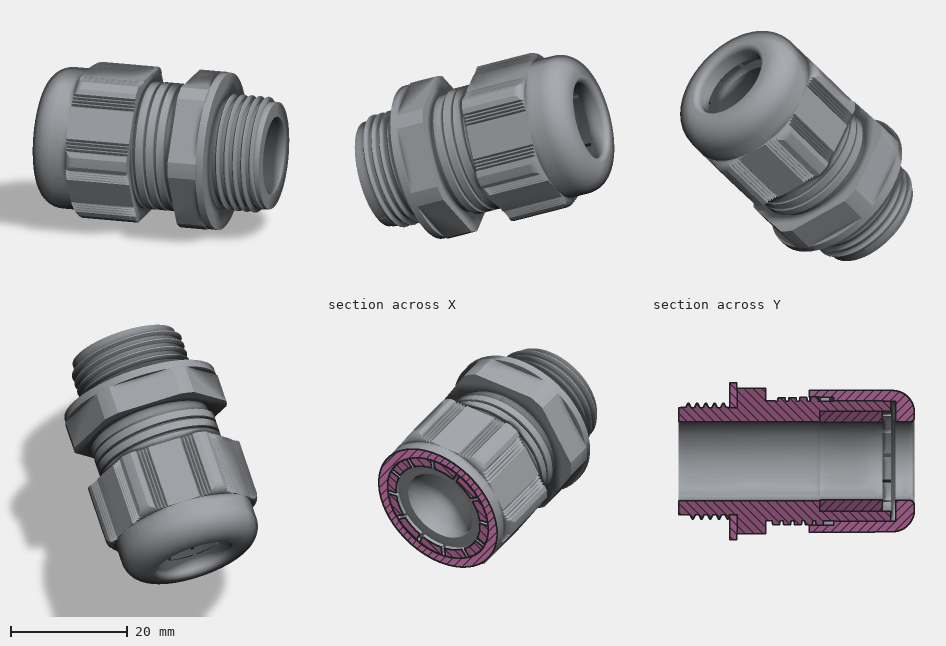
import cadquery as cq
import math

OVERALL_LENGTH = 40.45
GRIP_START = 6.87
CAP_END = 18.07
HEX_START = 25.47
GASKET_START = 30.4
GASKET_END = 31.7

DOME_DIA = 24.3
FRONT_FACE_DIA = 16.58
DOME_ROUND = (DOME_DIA - FRONT_FACE_DIA) / 2
ENTRY_BORE_DIA = 13.35
ENTRY_ROUND_DIA = 15.2
ENTRY_ROUND = (ENTRY_ROUND_DIA - ENTRY_BORE_DIA) / 2
ENTRY_BORE_END = 3.27
GRIP_FLATS = 24.35
LOBE_DIA = 27.15
LOBE_ROUND = (LOBE_DIA - DOME_DIA) / 2
GROOVES_PER_SIDE = 4
GROOVE_FIELD_WIDTH = 2.35
GROOVE_PITCH = GROOVE_FIELD_WIDTH / GROOVES_PER_SIDE
GROOVE_DEPTH = GROOVE_PITCH * math.sqrt(3) / 2
GROOVE_FIELD_START = 2.8

NECK_DIA = 20.5
HEX_FLATS = 25.0
HEX_CORNER_DIA = 27.4
HEX_TURN = -0.9
SHANK_DIA = 18.45
BODY_BORE_DIA = 13.42

FINGER_START = 4.05
SLOT_COUNT = 12
SLOT_WIDTH = 0.6
SLOT_ANGLE = -6.6

SEAL_START = 5.5
SEAL_END = 16.17
SEAL_DIA = 17.05
SEAL_BORE_DIA = 13.15

CAP_THREAD_DIA = 21.87
CAP_THREAD_PITCH = 1.85
CAP_THREAD_TURNS = 5.0
CAP_THREAD_END = 24.62
CAP_THREAD_END_ANGLE = 90.0
CAP_THREAD_BASE = 1.45
CAP_THREAD_CREST = 1.25
CAP_CAVITY_STEP = CAP_THREAD_END - CAP_THREAD_PITCH * CAP_THREAD_TURNS - CAP_THREAD_BASE

SHANK_THREAD_DIA = 19.97
SHANK_THREAD_PITCH = 1.5
SHANK_THREAD_TURNS = 5.5
SHANK_THREAD_END = 39.45
SHANK_THREAD_END_ANGLE = 270.0
SHANK_THREAD_BASE = 0.95
SHANK_THREAD_CREST = 0.15

GASKET_DIA = 27.0

THREAD_ROOTING = 0.12
RUNOUT_STEP = 0.1


def cylinder(diameter, start, end):
    return cq.Workplane("YZ", origin=(start, 0, 0)).circle(diameter / 2).extrude(end - start)


def hexagon(across_flats, start, end):
    """Hexagonal prism along X with flats facing +Z and -Z."""
    corner_dia = across_flats / math.cos(math.radians(30))
    return cq.Workplane("YZ", origin=(start, 0, 0)).polygon(6, corner_dia).extrude(end - start)


def thread_ridge(root_dia, crest_dia, base, crest, pitch, turns, end, end_angle):
    """Right-handed ridge around X; its last section is centred at `end` and `end_angle`.

    `end` is a station along X and `end_angle` is in degrees from +Y towards +Z.
    """
    root = root_dia / 2
    tip = crest_dia / 2
    foot = root - THREAD_ROOTING
    foot_width = base + (base - crest) * THREAD_ROOTING / (tip - root)
    helix = cq.Wire.makeHelix(pitch, pitch * turns, root)
    ridge = (
        cq.Workplane("XZ")
        .polyline([
            (foot, -foot_width / 2),
            (tip, -crest / 2),
            (tip, crest / 2),
            (foot, foot_width / 2),
        ])
        .close()
        .sweep(cq.Workplane(obj=helix), isFrenet=True)
    )
    start_angle = end_angle - 360 * turns
    placed_ridge = (
        ridge.rotate((0, 0, 0), (0, 1, 0), 90)
        .rotate((0, 0, 0), (1, 0, 0), start_angle + 90)
        .translate((end - pitch * turns, 0, 0))
    )

    fade_start = end - pitch + base / 2
    fade = (
        cq.Workplane("XY", origin=(fade_start, 0, 0))
        .box(pitch + base, crest_dia, crest_dia, centered=False)
        .cut(
            cylinder(crest_dia, fade_start, fade_start + pitch + base)
            .translate((0, 0, root + RUNOUT_STEP - tip))
        )
        .rotate((0, 0, 0), (1, 0, 0), end_angle - 90)
    )
    return placed_ridge.cut(fade)


def grip_prism():
    """Hexagonal prism with V-grooves beside the middle land of each flat."""
    flat = GRIP_FLATS / 2
    half_side = flat * math.tan(math.radians(30))
    right_grooves = []
    for index in range(GROOVES_PER_SIDE):
        start = GROOVE_FIELD_START + index * GROOVE_PITCH
        right_grooves += [(start, flat), (start + GROOVE_PITCH / 2, flat - GROOVE_DEPTH)]
    right_grooves.append((GROOVE_FIELD_START + GROOVE_FIELD_WIDTH, flat))
    left_grooves = [(-across, height) for across, height in reversed(right_grooves)]
    one_side = [(-half_side, flat)] + left_grooves + right_grooves

    outline = []
    for side in range(6):
        turn = math.radians(-60 * side)
        outline += [
            (
                across * math.cos(turn) - height * math.sin(turn),
                across * math.sin(turn) + height * math.cos(turn),
            )
            for across, height in one_side
        ]
    return (
        cq.Workplane("YZ", origin=(GRIP_START, 0, 0))
        .polyline(outline)
        .close()
        .extrude(CAP_END - GRIP_START)
    )


def make_cap():
    dome = cylinder(DOME_DIA, 0, GRIP_START).faces("<X").edges().fillet(DOME_ROUND)
    lobes = cylinder(LOBE_DIA, GRIP_START, CAP_END).faces("<X").edges().fillet(LOBE_ROUND)
    grip = grip_prism().intersect(lobes)

    entry_flare = (
        cq.Workplane("XY")
        .moveTo(0, 0)
        .lineTo(0, ENTRY_ROUND_DIA / 2)
        .radiusArc((ENTRY_ROUND, ENTRY_BORE_DIA / 2), -ENTRY_ROUND)
        .lineTo(ENTRY_ROUND, 0)
        .close()
        .revolve(360, (0, 0, 0), (1, 0, 0))
    )
    return (
        dome.union(grip)
        .cut(entry_flare)
        .cut(cylinder(ENTRY_BORE_DIA, 0, ENTRY_BORE_END))
        .cut(cylinder(NECK_DIA, ENTRY_BORE_END, CAP_CAVITY_STEP))
        .cut(cylinder(CAP_THREAD_DIA, CAP_CAVITY_STEP, CAP_END))
    )


def make_body():
    nut = (
        hexagon(HEX_FLATS, HEX_START, GASKET_START)
        .intersect(cylinder(HEX_CORNER_DIA, HEX_START, GASKET_START))
        .rotate((0, 0, 0), (1, 0, 0), HEX_TURN)
    )
    cap_thread = thread_ridge(
        NECK_DIA, CAP_THREAD_DIA, CAP_THREAD_BASE, CAP_THREAD_CREST,
        CAP_THREAD_PITCH, CAP_THREAD_TURNS, CAP_THREAD_END, CAP_THREAD_END_ANGLE,
    )
    shank_thread = thread_ridge(
        SHANK_DIA, SHANK_THREAD_DIA, SHANK_THREAD_BASE, SHANK_THREAD_CREST,
        SHANK_THREAD_PITCH, SHANK_THREAD_TURNS, SHANK_THREAD_END, SHANK_THREAD_END_ANGLE,
    ).cut(cylinder(GASKET_DIA, GASKET_START, GASKET_END))

    body = (
        cylinder(NECK_DIA, FINGER_START, HEX_START)
        .union(nut)
        .union(cylinder(SHANK_DIA, GASKET_START, OVERALL_LENGTH))
        .union(cap_thread)
        .union(shank_thread)
        .cut(cylinder(BODY_BORE_DIA, FINGER_START, OVERALL_LENGTH))
        .cut(cylinder(SEAL_DIA, FINGER_START, SEAL_END))
    )
    for index in range(SLOT_COUNT):
        slot = (
            cq.Workplane("XY")
            .box(SEAL_START - FINGER_START, NECK_DIA, SLOT_WIDTH, centered=(False, False, True))
            .translate((FINGER_START, 0, 0))
            .rotate((0, 0, 0), (1, 0, 0), SLOT_ANGLE + index * 360 / SLOT_COUNT)
        )
        body = body.cut(slot)
    return body


def make_seal():
    return cylinder(SEAL_DIA, SEAL_START, SEAL_END).cut(cylinder(SEAL_BORE_DIA, SEAL_START, SEAL_END))


def make_gasket():
    return cylinder(GASKET_DIA, GASKET_START, GASKET_END).cut(
        cylinder(SHANK_DIA, GASKET_START, GASKET_END)
    )


cap = make_cap()
body = make_body()
seal = make_seal()
gasket = make_gasket()

result = cq.Compound.makeCompound([
    cap.solids().val(),
    body.solids().val(),
    seal.solids().val(),
    gasket.solids().val(),
])